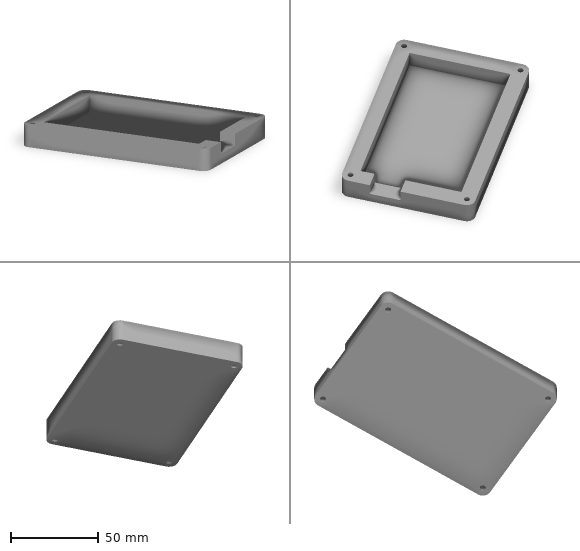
import cadquery as cq

length = 118.6
width = 79.5
height = 13.0
corner_radius = 5.0

rim = 9.6
floor_thickness = 3.0

hole_diameter = 3.4

notch_width = 18.4
notch_center_y = -12.6
notch_depth = 7.0


def make_block():
    block = cq.Workplane("XY").box(length, width, height, centered=(True, True, False))
    return block.edges("|Z").fillet(corner_radius)


def make_pocket():
    return (
        cq.Workplane("XY", origin=(0, 0, floor_thickness))
        .rect(length - 2 * rim, width - 2 * rim)
        .extrude(height - floor_thickness)
    )


def make_screw_holes():
    return (
        cq.Workplane("XY")
        .rect(length - 2 * corner_radius, width - 2 * corner_radius, forConstruction=True)
        .vertices()
        .circle(hole_diameter / 2)
        .extrude(height)
    )


def make_notch():
    rim_center_x = (length - rim) / 2
    return (
        cq.Workplane("XY", origin=(rim_center_x, notch_center_y, height - notch_depth))
        .rect(rim, notch_width)
        .extrude(notch_depth)
    )


result = make_block().cut(make_pocket()).cut(make_screw_holes()).cut(make_notch())